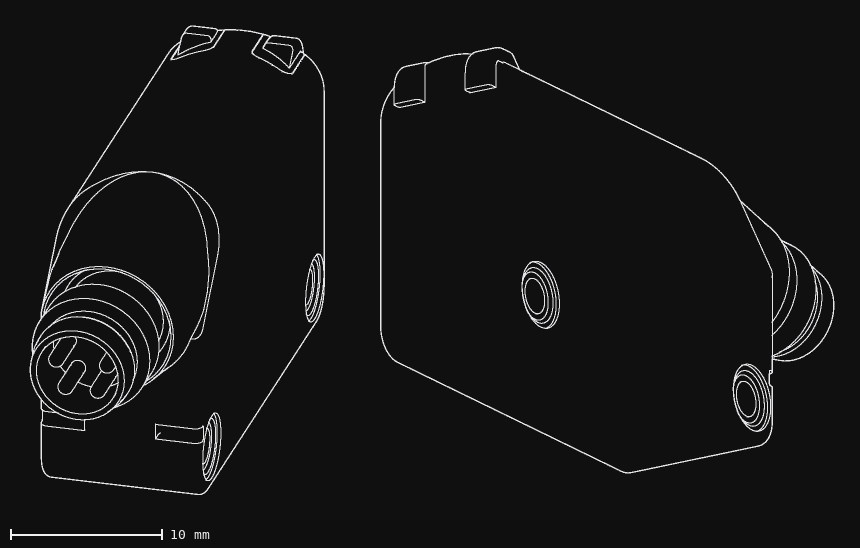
import cadquery as cq
import math


WIDTH = 11.0
HEIGHT = 20.0
LENGTH = 31.0
ROOF_RADIUS = 7.62
SHOULDER_RADIUS = 2.95
CORNER_RADIUS = 2.08
EDGE_RADIUS = 0.5
SLOPE_START_Z = 12.05

ROOF_CENTRE_Z = HEIGHT - ROOF_RADIUS
SHOULDER_X = WIDTH / 2 - SHOULDER_RADIUS
SHOULDER_Z = ROOF_CENTRE_Z + math.sqrt((ROOF_RADIUS - SHOULDER_RADIUS) ** 2 - SHOULDER_X**2)

HOLE_INSET_Y = 2.8
HOLE_Z = 3.0
HOLE_RADIUS = 1.2
SLEEVE_RADIUS = 2.25
SLEEVE_SETBACK = 0.25
COUNTERSINK_RADIUS = 1.85
COUNTERSINK_FLOOR_RADIUS = 1.6
COUNTERSINK_DEPTH = 0.2

SLOT_Z = 5.0
SLOT_HEIGHT = 1.05
SLOT_LENGTH = 3.1
SLOT_DEPTH = 0.7
SLOT_FLOOR_RADIUS = 0.15

HOOK_INNER_X = 1.78
HOOK_OUTER_X = 3.8
HOOK_OVERHANG = 0.8
HOOK_DROP = 3.05
HOOK_BEND_RADIUS = 1.85
HOOK_TOP_LENGTH = 2.63
HOOK_EDGE_RADIUS = 0.3
POCKET_INNER_X = 1.3
POCKET_OUTER_X = 4.15
POCKET_INNER_LENGTH = 3.55
POCKET_OUTER_LENGTH = 4.05
POCKET_CORNER_RADIUS = 0.65
POCKET_DEPTH = 0.1

AXIS_Z = 13.6
BOOT_PROJECTION = 3.18
BOOT_END_RADIUS = 4.55
BOOT_CONE_Y = 1.35
BOOT_CONE_RADIUS = 5.3
BOOT_BEND_Y = 4.3
BOOT_BEND_RADIUS = 5.55
BOOT_ROOT_Y = HEIGHT - SLOPE_START_Z
BOOT_ROOT_RADIUS = HEIGHT - AXIS_Z
RECESS_MOUTH_RADIUS = 4.35
RECESS_FLOOR_RADIUS = 3.73
RECESS_DEPTH = 2.1

NECK_RADIUS = 3.25
COLLAR_RADIUS = 4.02
COLLAR_CHAMFER_START = 1.23
COLLAR_START = 1.7
COLLAR_END = 4.0
COLLAR_CHAMFER_END = 4.3
BEAD_RADIUS = 3.45
BEAD_FOOT = 5.35
BEAD_START = 5.6
BEAD_END = 6.1
SHELL_PROJECTION = 7.35
SHELL_TIP_RADIUS = 3.2
SOCKET_RADIUS = 2.8
SOCKET_DEPTH = 4.25

PIN_RADIUS = 0.5
PIN_TIP_RADIUS = 0.42
PIN_SETBACK = 0.68
PIN_ROOT_DEPTH = 1.7
UPPER_PIN_X = 1.75
UPPER_PIN_RISE = 0.42
LOWER_PIN_X = 1.1
LOWER_PIN_RISE = -1.5

BOOT_END_Y = -BOOT_PROJECTION
RECESS_FLOOR_Y = BOOT_END_Y + RECESS_DEPTH
SHELL_TIP_Y = BOOT_END_Y - SHELL_PROJECTION
SOCKET_FLOOR_Y = SHELL_TIP_Y + SOCKET_DEPTH
PIN_TIP_Y = SHELL_TIP_Y + PIN_SETBACK
PIN_ROOT_Y = SOCKET_FLOOR_Y + PIN_ROOT_DEPTH

HOLE_YS = (HOLE_INSET_Y, LENGTH - HOLE_INSET_Y)
PIN_PLACES = (
    (-UPPER_PIN_X, AXIS_Z + UPPER_PIN_RISE),
    (UPPER_PIN_X, AXIS_Z + UPPER_PIN_RISE),
    (-LOWER_PIN_X, AXIS_Z + LOWER_PIN_RISE),
    (LOWER_PIN_X, AXIS_Z + LOWER_PIN_RISE),
)


def cylinder_along_y(x, z, radius, y_start, y_end):
    return cq.Workplane("XZ", origin=(x, y_start, z)).circle(radius).extrude(y_start - y_end)


def cylinder_along_x(y, z, radius, x_start, x_end):
    return cq.Workplane("YZ", origin=(x_start, y, z)).circle(radius).extrude(x_end - x_start)


def turned_on_axis(profile):
    """Revolve (radius, y) points about the connector axis."""
    outline = cq.Workplane("XY", origin=(0, 0, AXIS_Z)).polyline(profile).close()
    return outline.revolve(360, (0, 0, 0), (0, 1, 0))


def both_sides(left_body):
    return left_body.union(left_body.mirror("YZ"))


def housing_block():
    half = WIDTH / 2
    seam_x = SHOULDER_X * ROOF_RADIUS / (ROOF_RADIUS - SHOULDER_RADIUS)
    seam_z = ROOF_CENTRE_Z + math.sqrt(ROOF_RADIUS**2 - seam_x**2)
    section = (
        cq.Workplane("XZ")
        .moveTo(-half, 0)
        .lineTo(half, 0)
        .lineTo(half, SHOULDER_Z)
        .tangentArcPoint((seam_x, seam_z), relative=False)
        .threePointArc((0, HEIGHT), (-seam_x, seam_z))
        .tangentArcPoint((-half, SHOULDER_Z), relative=False)
        .close()
    )
    block = section.extrude(-LENGTH)
    block = block.faces("<Z").edges("|X").fillet(CORNER_RADIUS)
    return block.faces("<X or >X").edges("not >Z").fillet(EDGE_RADIUS)


def space_ahead_of_slope():
    """Wedge above the 45 degree face that slopes from the front face up to the roof."""
    rise = HEIGHT - SLOPE_START_Z
    wedge = cq.Workplane("YZ").polyline([(0, SLOPE_START_Z), (rise, HEIGHT), (0, HEIGHT)]).close()
    return wedge.extrude(WIDTH / 2, both=True)


def boot():
    solid = turned_on_axis([
        (0, BOOT_END_Y),
        (BOOT_END_RADIUS, BOOT_END_Y),
        (BOOT_CONE_RADIUS, BOOT_CONE_Y),
        (BOOT_BEND_RADIUS, BOOT_BEND_Y),
        (BOOT_ROOT_RADIUS, BOOT_ROOT_Y),
        (0, BOOT_ROOT_Y),
    ])
    behind_faces = (
        cq.Workplane("YZ")
        .polyline([(0, 0), (0, SLOPE_START_Z), (BOOT_ROOT_Y, HEIGHT), (BOOT_ROOT_Y, 0)])
        .close()
        .extrude(WIDTH, both=True)
    )
    return solid.cut(behind_faces)


def boot_recess():
    return turned_on_axis([
        (0, BOOT_END_Y),
        (RECESS_MOUTH_RADIUS, BOOT_END_Y),
        (RECESS_FLOOR_RADIUS, RECESS_FLOOR_Y),
        (0, RECESS_FLOOR_Y),
    ])


def left_hook_pocket():
    outline = cq.Workplane("XY", origin=(0, 0, SHOULDER_Z)).polyline([
        (-POCKET_OUTER_X, LENGTH),
        (-POCKET_OUTER_X, LENGTH - POCKET_OUTER_LENGTH),
        (-POCKET_INNER_X, LENGTH - POCKET_INNER_LENGTH),
        (-POCKET_INNER_X, LENGTH),
    ]).close()
    prism = outline.extrude(HEIGHT - SHOULDER_Z)
    prism = prism.edges("|Z").edges("not >Y").fillet(POCKET_CORNER_RADIUS)
    floor = cylinder_along_y(0, ROOF_CENTRE_Z, ROOF_RADIUS - POCKET_DEPTH, 0, LENGTH)
    return prism.cut(floor)


def left_hook():
    """Tongue that lies on the roof, bends over the rear edge and ends in a 45 degree ramp."""
    tip_y = LENGTH + HOOK_OVERHANG
    top_end_y = tip_y - HOOK_TOP_LENGTH
    bottom_z = HEIGHT - HOOK_DROP
    bend = HOOK_BEND_RADIUS
    bend_mid = bend * (1 - math.sqrt(0.5))
    outline = (
        cq.Workplane("YZ", origin=(-HOOK_OUTER_X, 0, 0))
        .moveTo(tip_y, bottom_z)
        .lineTo(tip_y, HEIGHT - bend)
        .threePointArc((tip_y - bend_mid, HEIGHT - bend_mid), (tip_y - bend, HEIGHT))
        .lineTo(top_end_y, HEIGHT)
        .lineTo(top_end_y - HOOK_DROP, bottom_z)
        .close()
    )
    hook = outline.extrude(HOOK_OUTER_X - HOOK_INNER_X)
    return hook.faces(">Z").edges("|Y").fillet(HOOK_EDGE_RADIUS)


def left_slot():
    mouth = cq.Workplane("XZ", origin=(-WIDTH / 2, 0, SLOT_Z)).rect(2 * SLOT_LENGTH, SLOT_HEIGHT)
    return mouth.extrude(-SLOT_DEPTH).faces(">Y").edges().fillet(SLOT_FLOOR_RADIUS)


def sleeve_bore(y):
    return cylinder_along_x(y, HOLE_Z, SLEEVE_RADIUS, -WIDTH / 2, WIDTH / 2)


def make_housing():
    body = housing_block().cut(space_ahead_of_slope())
    body = body.cut(both_sides(left_hook_pocket()))
    body = body.union(both_sides(left_hook()))
    body = body.union(boot()).cut(boot_recess())
    body = body.cut(both_sides(left_slot()))
    for y in HOLE_YS:
        body = body.cut(sleeve_bore(y))
    return body


def make_sleeve(y):
    end_x = WIDTH / 2 - SLEEVE_SETBACK
    floor_x = end_x - COUNTERSINK_DEPTH
    half_profile = cq.Workplane("XY", origin=(0, y, HOLE_Z)).polyline([
        (0, HOLE_RADIUS),
        (floor_x, HOLE_RADIUS),
        (floor_x, COUNTERSINK_FLOOR_RADIUS),
        (end_x, COUNTERSINK_RADIUS),
        (end_x, SLEEVE_RADIUS),
        (0, SLEEVE_RADIUS),
    ]).close()
    return both_sides(half_profile.revolve(360, (0, 0, 0), (1, 0, 0)))


def make_pin(x, z):
    pin = cylinder_along_y(x, z, PIN_RADIUS, PIN_TIP_Y, PIN_ROOT_Y)
    return pin.faces("<Y").edges().fillet(PIN_TIP_RADIUS)


def make_shell():
    shell = turned_on_axis([
        (0, RECESS_FLOOR_Y),
        (NECK_RADIUS, RECESS_FLOOR_Y),
        (NECK_RADIUS, BOOT_END_Y - COLLAR_CHAMFER_START),
        (COLLAR_RADIUS, BOOT_END_Y - COLLAR_START),
        (COLLAR_RADIUS, BOOT_END_Y - COLLAR_END),
        (NECK_RADIUS, BOOT_END_Y - COLLAR_CHAMFER_END),
        (NECK_RADIUS, BOOT_END_Y - BEAD_FOOT),
        (BEAD_RADIUS, BOOT_END_Y - BEAD_START),
        (BEAD_RADIUS, BOOT_END_Y - BEAD_END),
        (SHELL_TIP_RADIUS, SHELL_TIP_Y),
        (SOCKET_RADIUS, SHELL_TIP_Y),
        (SOCKET_RADIUS, SOCKET_FLOOR_Y),
        (0, SOCKET_FLOOR_Y),
    ])
    for x, z in PIN_PLACES:
        shell = shell.cut(cylinder_along_y(x, z, PIN_RADIUS, SOCKET_FLOOR_Y, PIN_ROOT_Y))
    return shell


housing = make_housing()
shell = make_shell()
sleeves = [make_sleeve(y).val() for y in HOLE_YS]
pins = [make_pin(x, z).val() for x, z in PIN_PLACES]

result = cq.Compound.makeCompound([housing.val(), shell.val(), *sleeves, *pins])